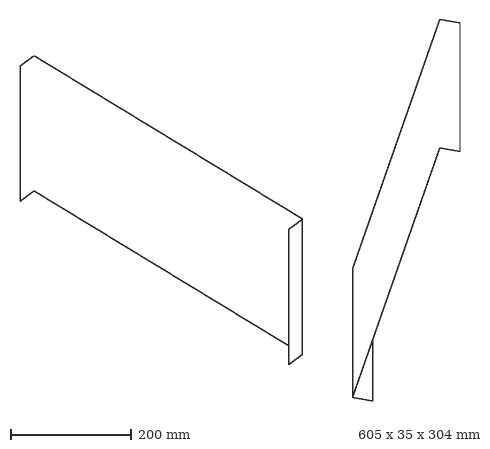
import cadquery as cq

length = 605.0
flange_depth = 35.0
height = 304.0

thickness = 0.8
inner_bend_radius = 0.9
outer_bend_radius = inner_bend_radius + thickness


def bent_edges(body, radius):
    """Round the vertical edges at the back (+Y), where the flanges meet the panel."""
    return body.edges("|Z and >Y").fillet(radius)


envelope = bent_edges(cq.Workplane("XY").box(length, flange_depth, height), outer_bend_radius)

cavity = bent_edges(
    cq.Workplane("XY")
    .box(length - 2 * thickness, flange_depth, height)
    .translate((0, -thickness, 0)),
    inner_bend_radius,
)

result = envelope.cut(cavity)